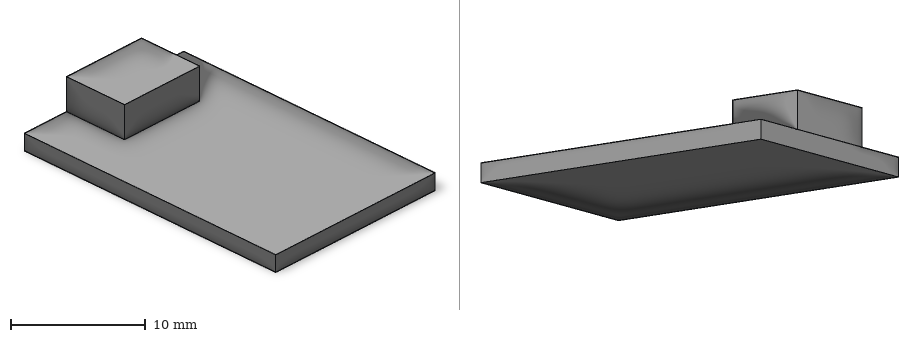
import cadquery as cq

board_length = 26.0
board_width = 17.0
board_thickness = 1.5

connector_length = 6.0
connector_width = 8.0
connector_height = 3.0


def make_board():
    return cq.Workplane("XY").box(
        board_length, board_width, board_thickness, centered=(True, True, False)
    )


def make_connector():
    connector = cq.Workplane("XY").box(
        connector_length, connector_width, connector_height, centered=(False, True, False)
    )
    return connector.translate((-board_length / 2, 0, board_thickness))


board = make_board()
connector = make_connector()

result = cq.Compound.makeCompound([board.val(), connector.val()])